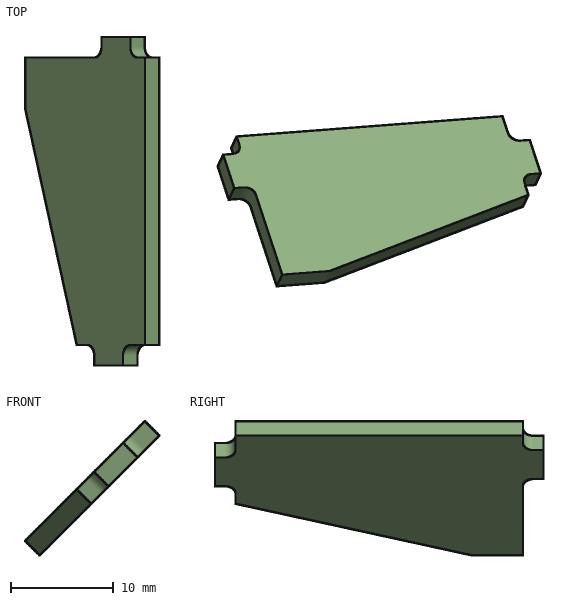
import cadquery as cq
import math

TILT = 45.0
THICKNESS = 2.0
BODY_WIDTH = 16.5
BODY_LENGTH = 28.0
STRAIGHT_EDGE = 5.0
TAPER = 7.1

TAB_WIDTH = 4.0
TAB_LENGTH = 2.0
TAB_FILLET = 1.0
BACK_TAB_START = 10.5
FRONT_TAB_START = 9.5


def make_body():
    """Tapered plate with its -Y end on v = 0 and its low edge on u = 0."""
    outline = [
        (0, BODY_LENGTH),
        (BODY_WIDTH, BODY_LENGTH),
        (BODY_WIDTH, 0),
        (TAPER, 0),
        (0, BODY_LENGTH - STRAIGHT_EDGE),
    ]
    return cq.Workplane("XY").polyline(outline).close().extrude(-THICKNESS)


def make_tab(start, base, direction):
    """Tab standing on the end edge v = base, flared by concave fillets at its root."""
    end = start + TAB_WIDTH
    tip = base + direction * TAB_LENGTH
    fillet_top = base + direction * TAB_FILLET
    arc_inset = TAB_FILLET * (1 - math.sqrt(0.5))
    arc_mid = base + direction * arc_inset
    return (
        cq.Workplane("XY")
        .moveTo(start - TAB_FILLET, base)
        .threePointArc((start - arc_inset, arc_mid), (start, fillet_top))
        .lineTo(start, tip)
        .lineTo(end, tip)
        .lineTo(end, fillet_top)
        .threePointArc((end + arc_inset, arc_mid), (end + TAB_FILLET, base))
        .close()
        .extrude(-THICKNESS)
    )


flat_plate = (
    make_body()
    .union(make_tab(BACK_TAB_START, BODY_LENGTH, 1))
    .union(make_tab(FRONT_TAB_START, 0, -1))
)

result = flat_plate.rotate((0, 0, 0), (0, 1, 0), -TILT)